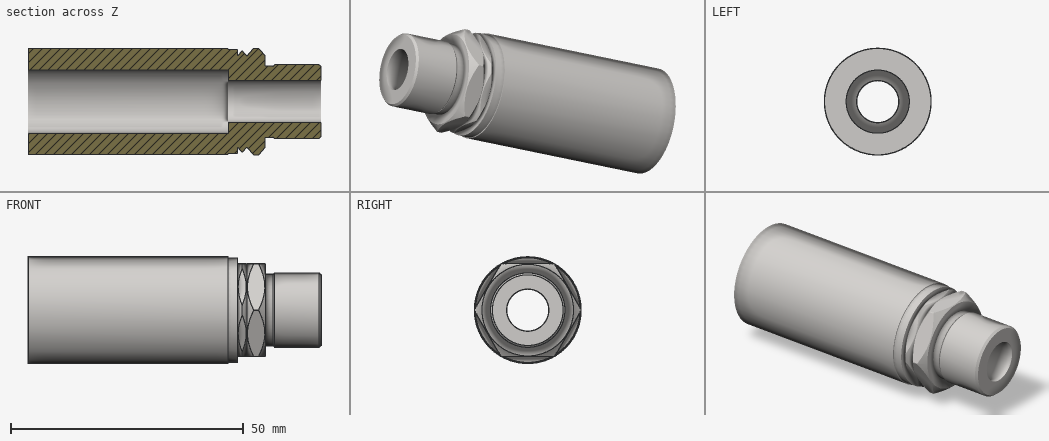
import cadquery as cq
import math

overall_length = 63.0
sleeve_end = 43.0
collar_end = 45.0
ring_end = 47.0
nut_end = 51.0
neck_end = 52.6
thread_start = 53.0
thread_end = 62.5

sleeve_diameter = 23.0
collar_diameter = 22.5
neck_diameter = 15.5
thread_diameter = 16.0
thread_tip_diameter = 15.2
through_bore_diameter = 9.0
socket_diameter = 13.6

across_flats = 20.0
hex_sides = 6
across_corners = across_flats / math.cos(math.pi / hex_sides)
hex_face_diameter = 19.7
crown_diameter = sleeve_diameter
bevel_slope = 1.14

socket_depth = sleeve_end


def revolved(profile):
    """Turn (x, radius) points, closed along the X axis, into a solid of revolution."""
    first_x = profile[0][0]
    last_x = profile[-1][0]
    outline = [(first_x, 0), *profile, (last_x, 0)]
    return cq.Workplane("XZ").polyline(outline).close().revolve(360, (0, 0), (1, 0))


def cylinder(start, end, diameter):
    """Round section along X."""
    return revolved([(start, diameter / 2), (end, diameter / 2)])


def bevelled_hexagon(start, end):
    """Hexagonal prism whose corners are turned down to a cone at both ends."""
    prism = cq.Workplane("YZ").workplane(offset=start).polygon(hex_sides, across_corners).extrude(end - start)
    face_radius = hex_face_diameter / 2
    half_length = (end - start) / 2
    crown_radius = crown_diameter / 2
    bevel_length = (crown_radius - face_radius) / bevel_slope
    if bevel_length < half_length:
        ridge = [(start + bevel_length, crown_radius), (end - bevel_length, crown_radius)]
    else:
        ridge = [(start + half_length, face_radius + half_length * bevel_slope)]
    return prism.intersect(revolved([(start, face_radius), *ridge, (end, face_radius)]))


def threaded_end():
    """Plain thread cylinder, chamfered at both ends."""
    tip_radius = thread_tip_diameter / 2
    thread_radius = thread_diameter / 2
    return revolved([
        (neck_end, tip_radius),
        (thread_start, thread_radius),
        (thread_end, thread_radius),
        (overall_length, tip_radius),
    ])


body = cylinder(0, sleeve_end, sleeve_diameter)
body = body.union(cylinder(sleeve_end, collar_end, collar_diameter))
body = body.union(bevelled_hexagon(collar_end, ring_end))
body = body.union(bevelled_hexagon(ring_end, nut_end))
body = body.union(cylinder(nut_end, neck_end, neck_diameter))
body = body.union(threaded_end())

body = body.cut(cylinder(0, overall_length, through_bore_diameter))
result = body.cut(cylinder(0, socket_depth, socket_diameter))